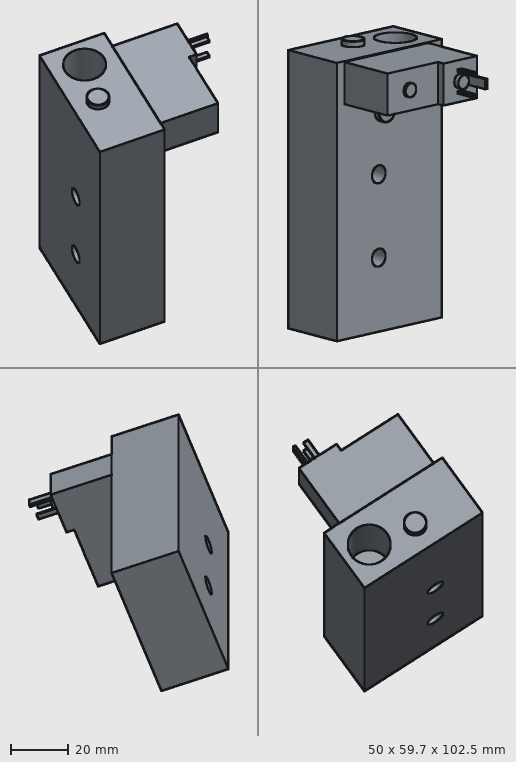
import cadquery as cq

BODY_WIDTH = 50.0
BODY_DEPTH = BODY_WIDTH / 2
OVERALL_HEIGHT = 102.5
TOP_STUD_HEIGHT = 2.2
BODY_HEIGHT = OVERALL_HEIGHT - TOP_STUD_HEIGHT

MOUNT_DIAMETER = 6.5
MOUNT_X = 30.0
MOUNT_LOWER_Z = 26.8
MOUNT_PITCH = 30.0

BORE_DIAMETER = 15.0
BORE_X = 10.6
BORE_Y = BODY_DEPTH / 2
BORE_DEPTH = BODY_DEPTH

STUD_DIAMETER = 8.0
STUD_CHAMFER = 0.2
STUD_X = 28.0
TOP_STUD_Y = 9.5
BACK_STUD_DROP = 20.8
BACK_STUD_HEIGHT = 2.2

COIL_LEFT = 6.5
COIL_WIDTH = 40.0
COIL_HEIGHT = 15.2
COIL_TOP_GAP = 0.3
COIL_STEP_X = 22.4
COIL_TALL_DEPTH = 25.1
COIL_LOW_DEPTH = 22.2
COIL_MID_Z = BODY_HEIGHT - COIL_TOP_GAP - COIL_HEIGHT / 2
COIL_TALL_Y = BODY_DEPTH + COIL_TALL_DEPTH
COIL_LOW_Y = BODY_DEPTH + COIL_LOW_DEPTH

BOSS_DIAMETER = 5.0
TERMINAL_BOSS_HEIGHT = 2.2
BUTTON_X = 36.3
BUTTON_HEIGHT = 1.0

OVERALL_DEPTH = 59.7
CONTACT_X = 14.9
CONTACT_WIDTH = 1.9
CONTACT_THICKNESS = 0.8
CONTACT_LENGTH = 8.0
CONTACT_PITCH = 7.9
GROUND_X = 11.0
GROUND_THICKNESS = 1.0
GROUND_HEIGHT = 3.6
GROUND_LENGTH = OVERALL_DEPTH - COIL_TALL_Y


def rod_along_y(diameter, x, z, start_y, length):
    """Cylinder running backward from start_y."""
    return cq.Workplane(cq.Solid.makeCylinder(
        diameter / 2, length, cq.Vector(x, start_y, z), cq.Vector(0, 1, 0)))


def rod_along_z(diameter, x, y, start_z, length):
    """Cylinder running upward from start_z."""
    return cq.Workplane(cq.Solid.makeCylinder(
        diameter / 2, length, cq.Vector(x, y, start_z)))


def blade(x, z, width, height, length):
    """Flat terminal centred on (x, z), standing on the tall coil face."""
    return (cq.Workplane("XY").box(width, length, height, centered=(True, False, True))
            .translate((x, COIL_TALL_Y, z)))


def make_body():
    body = cq.Workplane("XY").box(BODY_WIDTH, BODY_DEPTH, BODY_HEIGHT, centered=False)
    for z in (MOUNT_LOWER_Z, MOUNT_LOWER_Z + MOUNT_PITCH):
        body = body.cut(rod_along_y(MOUNT_DIAMETER, MOUNT_X, z, 0, BODY_DEPTH))
    body = body.cut(rod_along_z(BORE_DIAMETER, BORE_X, BORE_Y, BODY_HEIGHT - BORE_DEPTH, BORE_DEPTH))
    top_stud = rod_along_z(STUD_DIAMETER, STUD_X, TOP_STUD_Y, BODY_HEIGHT, TOP_STUD_HEIGHT)
    back_stud = rod_along_y(STUD_DIAMETER, STUD_X, BODY_HEIGHT - BACK_STUD_DROP, BODY_DEPTH, BACK_STUD_HEIGHT)
    body = body.union(top_stud.faces(">Z").chamfer(STUD_CHAMFER))
    return body.union(back_stud.faces(">Y").chamfer(STUD_CHAMFER))


def make_coil():
    outline = [
        (COIL_LEFT, BODY_DEPTH),
        (COIL_LEFT + COIL_WIDTH, BODY_DEPTH),
        (COIL_LEFT + COIL_WIDTH, COIL_LOW_Y),
        (COIL_STEP_X, COIL_LOW_Y),
        (COIL_STEP_X, COIL_TALL_Y),
        (COIL_LEFT, COIL_TALL_Y),
    ]
    coil = (cq.Workplane("XY", origin=(0, 0, COIL_MID_Z))
            .polyline(outline).close().extrude(COIL_HEIGHT / 2, both=True))
    coil = coil.union(rod_along_y(BOSS_DIAMETER, CONTACT_X, COIL_MID_Z, COIL_TALL_Y, TERMINAL_BOSS_HEIGHT))
    coil = coil.union(rod_along_y(BOSS_DIAMETER, BUTTON_X, COIL_MID_Z, COIL_LOW_Y, BUTTON_HEIGHT))
    for side in (-1, 1):
        z = COIL_MID_Z + side * CONTACT_PITCH / 2
        coil = coil.union(blade(CONTACT_X, z, CONTACT_WIDTH, CONTACT_THICKNESS, CONTACT_LENGTH))
    return coil.union(blade(GROUND_X, COIL_MID_Z, GROUND_THICKNESS, GROUND_HEIGHT, GROUND_LENGTH))


result = make_body().union(make_coil())